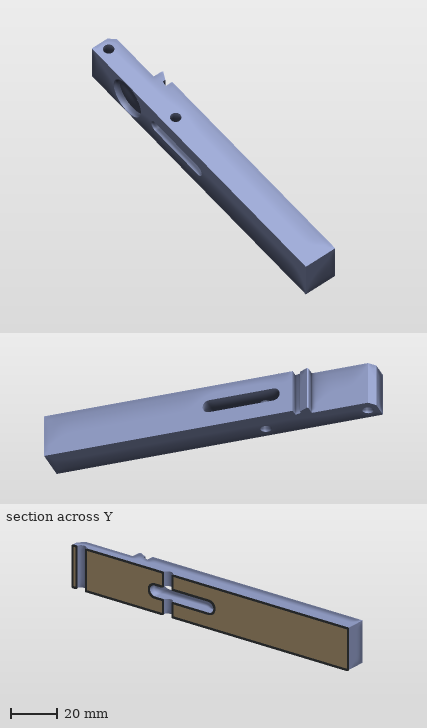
import cadquery as cq

length = 150.0
height = 20.0
body_depth = 16.2
nose_depth = 11.7
mid_height = height / 2

chamfer_x = 2.7
chamfer_y = 3.2

tooth_x = 28.5
tip_x = 29.0
tip_y = 16.6
step_x = 33.0
step_top_y = 14.5
step_bottom_y = 13.2
notch_x = 35.7
notch_y = 12.6

pin_diameter = 5.0
pin_y = 5.5
pin_positions_x = (4.8, 51.8)

pocket_diameter = 19.0
pocket_x = 24.9
pocket_depth = 3.2

slot_start_x = 41.7
slot_length = 35.4
slot_width = 6.0
slot_x = slot_start_x + slot_length / 2


def bar():
    """Bar outline with the chamfered nose and the tooth, extruded upwards."""
    outline = [
        (0, 0),
        (length, 0),
        (length, body_depth),
        (notch_x, body_depth),
        (notch_x, notch_y),
        (step_x, step_bottom_y),
        (step_x, step_top_y),
        (tip_x, tip_y),
        (tooth_x, tip_y - (tip_x - tooth_x)),
        (tooth_x, nose_depth),
        (chamfer_x, nose_depth),
        (0, nose_depth - chamfer_y),
    ]
    return cq.Workplane("XY").polyline(outline).close().extrude(height)


def pin_hole(x):
    return cq.Workplane("XY").center(x, pin_y).circle(pin_diameter / 2).extrude(height)


def pocket():
    plane = cq.Workplane("XZ").center(pocket_x, mid_height)
    return plane.circle(pocket_diameter / 2).extrude(-pocket_depth)


def slot():
    plane = cq.Workplane("XZ").center(slot_x, mid_height)
    return plane.slot2D(slot_length, slot_width).extrude(-body_depth)


result = bar().cut(pocket()).cut(slot())
for pin_x in pin_positions_x:
    result = result.cut(pin_hole(pin_x))